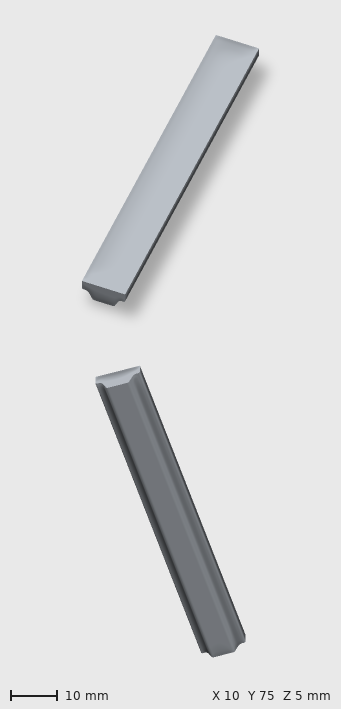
import cadquery as cq
import math

length = 75.0
head_width = 10.0
height = 5.0
head_depth = 2.55
foot_width = 4.95
flank_angle = 25.0

head_edge_radius = 0.4
root_radius = 1.1
foot_edge_radius = 0.6

foot_depth = height - head_depth
root_width = foot_width + 2 * foot_depth * math.tan(math.radians(flank_angle))


def sharp_bar():
    """Symmetric bar with its foot on Z = 0, before rounding."""
    right_side = [
        (foot_width / 2, 0),
        (root_width / 2, foot_depth),
        (head_width / 2, foot_depth),
        (head_width / 2, height),
    ]
    left_side = [(-x, z) for x, z in reversed(right_side)]
    profile = cq.Workplane("XZ").polyline(right_side + left_side).close()
    return profile.extrude(length / 2, both=True)


def round_edge_pair(bar, width, level, radius):
    """Round the two long edges that lie the given width apart at one level."""
    for x in (-width / 2, width / 2):
        bar = bar.edges(cq.selectors.NearestToPointSelector((x, 0, level))).fillet(radius)
    return bar


result = sharp_bar()
result = round_edge_pair(result, root_width, foot_depth, root_radius)
result = round_edge_pair(result, head_width, foot_depth, head_edge_radius)
result = round_edge_pair(result, foot_width, 0, foot_edge_radius)